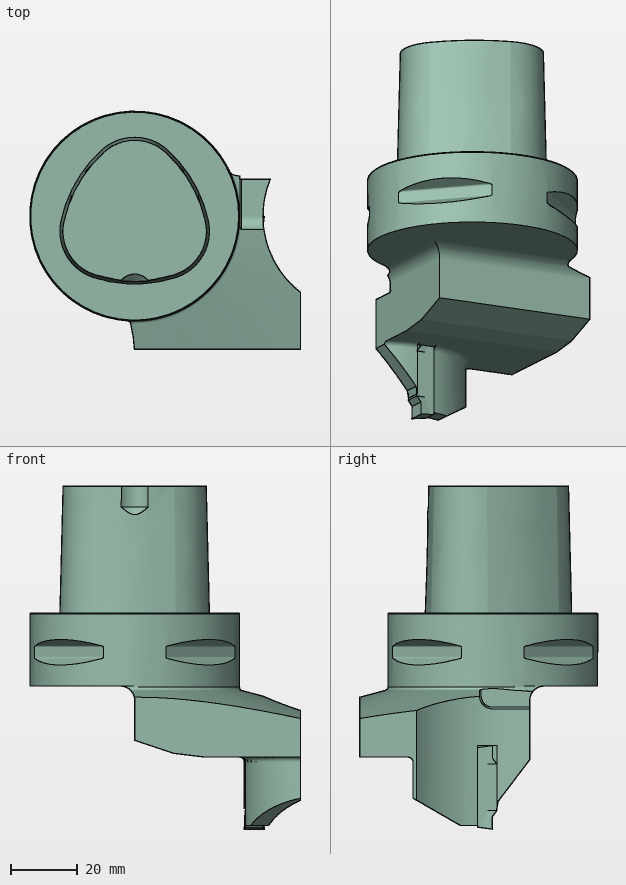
import cadquery as cq
import math


shank_height = 38.0
lobe_reach = 23.7
flat_reach = 20.4
lobe_radius = 14.6
shank_taper = 1.43
lobe_count = 3
first_flat_angle = -90

keyway_radius = 5.2
keyway_axis_y = -22.6
keyway_depth = 6.3

flange_radius = 31.5
flange_height = 22.0
flange_chamfer = 0.3

groove_count = 4
groove_first_angle = 45
groove_floor_distance = 27.9
groove_floor_width = 3.5
groove_center_z = -11.8
groove_side_angle = 30
groove_corner_radius = 0.6

arm_end_x = 49.9
arm_front_y = -40.0
arm_back_y = 11.1
arm_bottom_z = -43.4
arm_bottom_corners = [(21.1, arm_bottom_z), (11.7, -42.2), (0, -38.3)]
flare_radius = 4.2
crown_edge_z = -23.1
crown_slope = 15
crown_rim_radius = 72.1
crown_fillet = 1.0

inner_radius = 28.8
inner_axis_x = 67.4
outer_radius = 25.4
outer_axis_x = 58.3
blade_bottom_z = -63.9
blade_fillet = 1.4
relief_start_y = -9.8
relief_angle = 30
jaw_root_z = -44.1
jaw_nose_top = (1.6, -56.5)
jaw_nose_z = -58.8

recess_x = 31.6
recess_front_y = -4.0
recess_floor_z = -28.8
recess_fillet = 3.9
recess_corner_chamfer = 0.5

insert_seat_y = -4.6
insert_top_y = 1.2
insert_rake_y = -0.1
insert_bottom_z = -65.0
insert_length = 25.1
insert_side_x = 33.3
insert_width = 5.3
head_overhang = 0.4
head_undercut = 0.1
head_narrowing = 0.26
head_length = 5.6
rake_length = 3.8
rake_slope_length = 1.8
bottom_clearance = 0.6


def polar(radius, degrees):
    angle = math.radians(degrees)
    return radius * math.cos(angle), radius * math.sin(angle)


def make_shank():
    """Three tangent lobe arcs joined by three flatter arcs, tapered towards the top."""
    lobe_offset = lobe_reach - lobe_radius
    gap = flat_reach - lobe_radius
    half_offset = lobe_offset / 2
    flat_offset = (lobe_offset**2 - gap**2) / (2 * (gap - half_offset))
    flat_radius = flat_reach + flat_offset
    lobe_x, lobe_y = polar(lobe_offset, first_flat_angle + 180 / lobe_count)
    joint_angle = math.degrees(math.atan2(lobe_x, flat_offset - lobe_y))
    joint_x, joint_y = polar(flat_radius, first_flat_angle + joint_angle)
    joint_y += flat_offset
    joint_radius = math.hypot(joint_x, joint_y)
    joint_half_angle = math.degrees(math.atan2(joint_x, -joint_y))

    outline = cq.Workplane("XY").moveTo(-joint_x, joint_y)
    for lobe in range(lobe_count):
        flat_angle = first_flat_angle + lobe * 360 / lobe_count
        lobe_angle = flat_angle + 180 / lobe_count
        next_flat_angle = flat_angle + 360 / lobe_count
        flat_end = polar(joint_radius, flat_angle + joint_half_angle)
        lobe_end = polar(joint_radius, next_flat_angle - joint_half_angle)
        outline = outline.threePointArc(polar(flat_reach, flat_angle), flat_end)
        outline = outline.threePointArc(polar(lobe_reach, lobe_angle), lobe_end)
    return outline.close().extrude(shank_height, taper=shank_taper)


def make_keyway():
    """Round cut with a 90 degree conical bottom."""
    floor_z = shank_height - keyway_depth
    profile = [
        (0, shank_height),
        (keyway_radius, shank_height),
        (keyway_radius, floor_z),
        (0, floor_z - keyway_radius),
    ]
    keyway = cq.Workplane("XZ").polyline(profile).close().revolve(360, (0, 0), (0, 1))
    return keyway.translate((0, keyway_axis_y, 0))


def make_groove():
    """Straight groove with sloping sides, on the +X side of the flange."""
    depth = 2 * (flange_radius - groove_floor_distance)
    floor = groove_floor_width / 2
    mouth = floor + depth * math.tan(math.radians(groove_side_angle))
    profile = [(0, -floor), (depth, -mouth), (depth, mouth), (0, floor)]
    groove = cq.Workplane("XZ").polyline(profile).close().extrude(flange_radius, both=True)
    groove = groove.edges("<X").fillet(groove_corner_radius)
    return groove.translate((groove_floor_distance, 0, groove_center_z))


def make_flange():
    flange = cq.Workplane("XY").circle(flange_radius).extrude(-flange_height)
    flange = flange.faces(">Z").chamfer(flange_chamfer)
    for index in range(groove_count):
        angle = groove_first_angle + index * 360 / groove_count
        flange = flange.cut(make_groove().rotate((0, 0, 0), (0, 0, 1), angle))
    return flange


def make_crown():
    """Space below the flange and the conical top of the arm, with a fillet where they meet."""
    center_r = flange_radius + crown_fillet
    center_z = crown_edge_z + crown_fillet * math.tan(math.radians((90 - crown_slope) / 2))
    arc_end_angle = 270 - crown_slope
    middle = polar(crown_fillet, (180 + arc_end_angle) / 2)
    end = polar(crown_fillet, arc_end_angle)
    rim_z = crown_edge_z - (crown_rim_radius - flange_radius) * math.tan(math.radians(crown_slope))
    profile = (
        cq.Workplane("XZ")
        .moveTo(0, -flange_height)
        .lineTo(flange_radius, -flange_height)
        .lineTo(flange_radius, center_z)
        .threePointArc((center_r + middle[0], center_z + middle[1]), (center_r + end[0], center_z + end[1]))
        .lineTo(crown_rim_radius, rim_z)
        .lineTo(crown_rim_radius, insert_bottom_z)
        .lineTo(0, insert_bottom_z)
        .close()
    )
    return profile.revolve(360, (0, 0), (0, 1))


def make_arm():
    """Thick plate that flares out into the flange along its -X and +Y sides."""
    flare_z = -flange_height - flare_radius
    bend = flare_radius * math.sqrt(0.5)
    length = arm_back_y + flare_radius - arm_front_y
    lengthwise = (
        cq.Workplane("XZ", origin=(0, arm_front_y, 0))
        .moveTo(-flare_radius, -flange_height)
        .lineTo(arm_end_x, -flange_height)
        .lineTo(arm_end_x, arm_bottom_z)
        .polyline(arm_bottom_corners, includeCurrent=True)
        .lineTo(0, flare_z)
        .threePointArc((bend - flare_radius, flare_z + bend), (-flare_radius, -flange_height))
        .close()
        .extrude(-length)
    )
    crosswise = (
        cq.Workplane("YZ")
        .moveTo(arm_front_y, arm_bottom_z)
        .lineTo(arm_back_y, arm_bottom_z)
        .lineTo(arm_back_y, flare_z)
        .threePointArc(
            (arm_back_y + flare_radius - bend, flare_z + bend), (arm_back_y + flare_radius, -flange_height)
        )
        .lineTo(arm_front_y, -flange_height)
        .close()
        .extrude(arm_end_x, both=True)
    )
    return lengthwise.intersect(crosswise).intersect(make_crown())


def make_blade():
    """Crescent below the arm: relieved towards -Y, with a sloping jaw towards +Y."""
    outer_end_y = -math.sqrt(outer_radius**2 - (arm_end_x - outer_axis_x) ** 2)
    relief_rise = (relief_start_y - outer_end_y) * math.tan(math.radians(relief_angle))
    profile = [
        (outer_end_y, arm_bottom_z),
        (outer_end_y, blade_bottom_z + relief_rise),
        (relief_start_y, blade_bottom_z),
        (insert_seat_y, blade_bottom_z),
        (insert_seat_y, jaw_nose_z),
        (insert_top_y, jaw_nose_z),
        jaw_nose_top,
        (arm_back_y, jaw_root_z),
        (arm_back_y, arm_bottom_z),
    ]
    side = cq.Workplane("YZ").polyline(profile).close().extrude(arm_end_x)
    outer = cq.Workplane("XY", origin=(outer_axis_x, 0, 0)).circle(outer_radius).extrude(insert_bottom_z)
    return side.intersect(outer)


def make_recess():
    """Open-ended pocket in the top of the arm."""
    length = arm_end_x - recess_x
    width = arm_back_y + flare_radius - recess_front_y
    height = -flange_height - recess_floor_z
    recess = cq.Workplane("XY").box(length, width, height, centered=False)
    recess = recess.edges("<Y and <Z").fillet(recess_fillet)
    recess = recess.edges("<X and <Z").chamfer(recess_corner_chamfer)
    return recess.translate((recess_x, recess_front_y, recess_floor_z))


def make_insert():
    """Insert with a wider cutting head at each end, made as two mirrored halves."""
    middle_z = insert_bottom_z + insert_length / 2
    seat_bottom_z = insert_bottom_z + bottom_clearance
    rake_z = insert_bottom_z + rake_length
    half_profile = [
        (insert_seat_y, middle_z),
        (insert_seat_y, seat_bottom_z),
        (insert_rake_y, insert_bottom_z),
        (insert_rake_y, rake_z),
        (insert_top_y, rake_z + rake_slope_length),
        (insert_top_y, middle_z),
    ]

    def prism(side_x, width):
        return cq.Workplane("YZ", origin=(side_x, 0, 0)).polyline(half_profile).close().extrude(width)

    center_x = insert_side_x + insert_width / 2
    edge = insert_width / 2 + head_overhang
    seat = insert_width / 2 - head_undercut

    def head_section(inset):
        return [
            (center_x - seat + inset, insert_seat_y),
            (center_x + seat - inset, insert_seat_y),
            (center_x + edge - inset, insert_rake_y),
            (center_x + edge - inset, insert_top_y),
            (center_x - edge + inset, insert_top_y),
            (center_x - edge + inset, insert_rake_y),
        ]

    head = (
        cq.Workplane("XY", origin=(0, 0, insert_bottom_z))
        .polyline(head_section(0)).close()
        .workplane(offset=head_length)
        .polyline(head_section(head_narrowing)).close()
        .loft(ruled=True)
        .intersect(prism(insert_side_x - head_overhang, insert_width + 2 * head_overhang))
    )
    half = prism(insert_side_x, insert_width).union(head)
    return half.union(half.mirror("XY", (0, 0, middle_z)))


def make_insert_slot():
    """Clears the blade on both sides of the insert, so that its side faces lie open."""
    slot_width = insert_top_y - insert_seat_y
    insert_end_x = insert_side_x + insert_width
    near = (
        cq.Workplane("XY")
        .box(insert_side_x, slot_width, arm_bottom_z - insert_bottom_z, centered=False)
        .translate((0, insert_seat_y, insert_bottom_z))
    )
    far = (
        cq.Workplane("XY")
        .box(arm_end_x - insert_end_x, slot_width, insert_length, centered=False)
        .translate((insert_end_x, insert_seat_y, insert_bottom_z))
    )
    return near.union(far)


def make_holder(insert):
    holder = make_arm().union(make_blade())
    blade_root = cq.NearestToPointSelector((outer_axis_x - outer_radius, 0, arm_bottom_z))
    holder = holder.edges("%CIRCLE").edges(blade_root).fillet(blade_fillet)
    hollow = cq.Workplane("XY", origin=(inner_axis_x, 0, 0)).circle(inner_radius).extrude(insert_bottom_z)
    holder = holder.cut(hollow).cut(make_recess()).cut(make_insert_slot()).cut(insert)
    return holder.union(make_flange()).union(make_shank()).cut(make_keyway())


insert = make_insert()
holder = make_holder(insert)

result = cq.Compound.makeCompound([holder.val(), insert.val()])